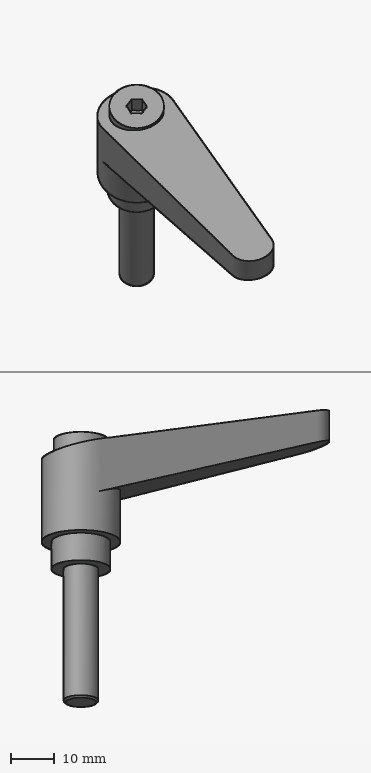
import cadquery as cq
import math

height = 77.65
hub_radius = 9.0
hub_bottom = 38.5
collar_radius = 6.75
collar_bottom = 32.0
stud_radius = 4.0
stud_chamfer = 0.5

arm_tip_x = 62.0
arm_tip_radius = 5.05
arm_tip_thickness = 7.15
top_slope = math.tan(math.radians(15.4))
underside_slope = math.tan(math.radians(20))

screw_radius = 6.25
screw_top = 63.0
screw_seat = 46.3
socket_across_flats = 4.0
socket_depth = 4.0
drill_point_angle = 120

tip_center_x = arm_tip_x - arm_tip_radius
taper_cos = (hub_radius - arm_tip_radius) / tip_center_x
taper_sin = math.sqrt(1 - taper_cos**2)
hub_tangent = (hub_radius * taper_cos, hub_radius * taper_sin)
tip_tangent = (tip_center_x + arm_tip_radius * taper_cos, arm_tip_radius * taper_sin)


def top_height(x):
    """Height of the sloping top face at x."""
    return height - top_slope * (arm_tip_x - x)


def underside_height(x):
    """Height of the sloping arm underside at x."""
    return height - arm_tip_thickness - underside_slope * (arm_tip_x - x)


def cylinder(radius, bottom, top):
    return cq.Workplane("XY").workplane(offset=bottom).circle(radius).extrude(top - bottom)


def mirrored(point):
    return (point[0], -point[1])


def make_hub():
    column = (
        cq.Workplane("XY")
        .workplane(offset=hub_bottom)
        .moveTo(*hub_tangent)
        .threePointArc((-hub_radius, 0), mirrored(hub_tangent))
        .threePointArc((hub_radius, 0), hub_tangent)
        .close()
        .extrude(height - hub_bottom)
    )
    reach = 2 * hub_radius
    above_top = (
        cq.Workplane("XZ")
        .polyline([
            (-reach, top_height(-reach)),
            (reach, top_height(reach)),
            (reach, 2 * height),
            (-reach, 2 * height),
        ])
        .close()
        .extrude(reach, both=True)
    )
    return column.cut(above_top)


def make_arm():
    plan = (
        cq.Workplane("XY")
        .moveTo(*hub_tangent)
        .lineTo(*tip_tangent)
        .threePointArc((arm_tip_x, 0), mirrored(tip_tangent))
        .lineTo(*mirrored(hub_tangent))
        .close()
        .extrude(2 * height)
    )
    start_x = -hub_radius
    end_x = arm_tip_x + arm_tip_radius
    side_profile = (
        cq.Workplane("XZ")
        .polyline([
            (start_x, underside_height(start_x)),
            (end_x, underside_height(end_x)),
            (end_x, top_height(end_x)),
            (start_x, top_height(start_x)),
        ])
        .close()
        .extrude(2 * hub_radius, both=True)
    )
    return plan.intersect(side_profile)


def make_socket():
    corner_diameter = socket_across_flats / math.cos(math.radians(30))
    floor_corner = screw_top - socket_depth
    cone_slope = 1 / math.tan(math.radians(drill_point_angle / 2))
    floor_center = floor_corner - cone_slope * corner_diameter / 2
    blank_radius = corner_diameter
    hexagon = (
        cq.Workplane("XY")
        .workplane(offset=floor_center)
        .polygon(6, corner_diameter)
        .extrude(screw_top - floor_center)
    )
    pointed_blank = (
        cq.Workplane("XZ")
        .polyline([
            (0, floor_center),
            (blank_radius, floor_center + cone_slope * blank_radius),
            (blank_radius, screw_top),
            (0, screw_top),
        ])
        .close()
        .revolve(360, (0, 0, 0), (0, 1, 0))
    )
    return hexagon.intersect(pointed_blank)


stud = cylinder(stud_radius, 0, collar_bottom).faces("<Z").chamfer(stud_chamfer)
collar = cylinder(collar_radius, collar_bottom, hub_bottom)
screw = cylinder(screw_radius, screw_seat, screw_top)

result = make_hub().union(make_arm()).union(collar).union(stud).union(screw).cut(make_socket())